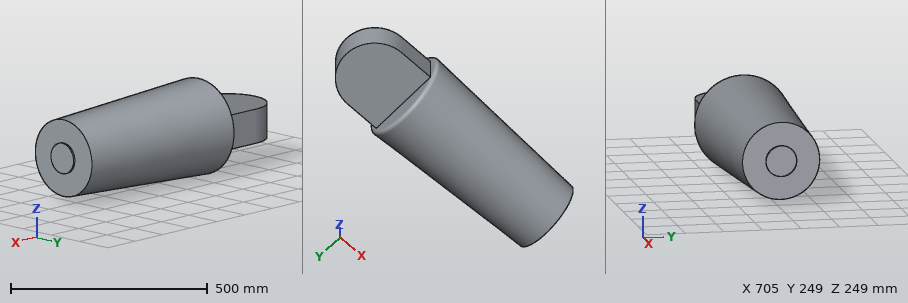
import cadquery as cq

total_length = 705.0
tongue_length = 200.0
tongue_width = 200.0
tongue_thickness = 89.5
tongue_drop = 3.0
body_length = 500.0
body_large_diameter = 250.0
body_small_diameter = 200.0
rim_fillet = 10.0
boss_diameter = 80.0

boss_length = total_length - tongue_length - body_length
tip_radius = tongue_width / 2
body_end = tongue_length + body_length


def tapered_body():
    """Cone narrowing towards +X, with a rounded rim at its large end."""
    profile = (
        cq.Workplane("XY")
        .moveTo(tongue_length, 0)
        .lineTo(tongue_length, body_large_diameter / 2)
        .lineTo(body_end, body_small_diameter / 2)
        .lineTo(body_end, 0)
        .close()
    )
    cone = profile.revolve(360, (0, 0, 0), (1, 0, 0))
    return cone.faces("<X").edges().fillet(rim_fillet)


def tongue():
    """Flat tongue on the large end, with a full-round tip."""
    return (
        cq.Workplane("XY", origin=(0, 0, -tongue_drop))
        .moveTo(tongue_length, -tip_radius)
        .lineTo(tip_radius, -tip_radius)
        .threePointArc((0, 0), (tip_radius, tip_radius))
        .lineTo(tongue_length, tip_radius)
        .close()
        .extrude(tongue_thickness / 2, both=True)
    )


def end_boss():
    """Thin round boss on the small end."""
    return cq.Workplane("YZ", origin=(body_end, 0, 0)).circle(boss_diameter / 2).extrude(boss_length)


result = tapered_body().union(tongue()).union(end_boss())